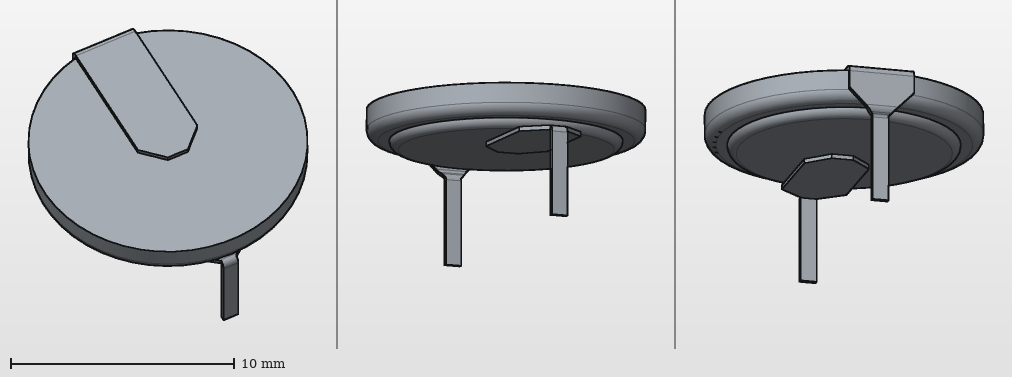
import cadquery as cq
import math

cell_radius = 6.25
rim_thickness = 1.4
rim_fillet = 0.5
cap_radius = 5.23
cap_height = 0.4
cap_fillet = 0.39
cell_thickness = rim_thickness + cap_height

sheet = 0.2
contact_width = 3.0
leg_width = 0.74
tip_chamfer = 1.0
bend_inner = 0.1
bend_outer = bend_inner + sheet
shoulder = (contact_width - leg_width) / 2

upper_left = -6.35
upper_tip = 0.96
upper_taper_start = -0.9
joggle_start = -1.79
joggle_offset = 0.24
joggle_angle = 45
joggle_inner = 0.2
joggle_outer = joggle_inner + sheet
upper_leg_bottom = -6.0

lower_tip = 0.23
lower_taper_start = 4.98
lower_leg_inner = 5.87
lower_leg_thickness = 0.23
lower_leg_outer = lower_leg_inner + lower_leg_thickness
lower_leg_bottom = -5.91
lower_top = -cell_thickness
lower_bottom = lower_top - sheet


def extrude_profile(points):
    """Extrude an XZ outline over the full contact width, centred on Y = 0."""
    return cq.Workplane("XZ").polyline(points).close().extrude(contact_width / 2, both=True)


def round_bend(body, x, z, radius):
    """Round the Y-parallel edge that passes through (x, z)."""
    return body.edges("|Y").edges(cq.NearestToPointSelector((x, 0, z))).fillet(radius)


def both_sides(wedge):
    """Pair a wedge with its mirror image across Y = 0."""
    return wedge.union(wedge.mirror("XZ"))


def make_cell():
    """Wide rim with a smaller raised cap underneath, both with rounded lower edges."""
    rim = cq.Workplane("XY").circle(cell_radius).extrude(-rim_thickness)
    rim = rim.faces("<Z").edges().fillet(rim_fillet)
    cap = cq.Workplane("XY").workplane(offset=-rim_thickness).circle(cap_radius).extrude(-cap_height)
    cap = cap.faces("<Z").edges().fillet(cap_fillet)
    return rim.union(cap)


def make_upper_contact():
    inner = upper_left + sheet
    leg_left = upper_left + joggle_offset
    leg_right = leg_left + sheet
    joggle_end = joggle_start - joggle_offset / math.tan(math.radians(joggle_angle))
    corner_lift = sheet * math.tan(math.radians(joggle_angle / 2))

    contact = extrude_profile([
        (upper_tip, sheet),
        (upper_left, sheet),
        (upper_left, joggle_start),
        (leg_left, joggle_end),
        (leg_left, upper_leg_bottom),
        (leg_right, upper_leg_bottom),
        (leg_right, joggle_end + corner_lift),
        (inner, joggle_start + corner_lift),
        (inner, 0),
        (upper_tip, 0),
    ])
    contact = round_bend(contact, upper_left, sheet, bend_outer)
    contact = round_bend(contact, inner, 0, bend_inner)
    contact = round_bend(contact, upper_left, joggle_start, joggle_outer)
    contact = round_bend(contact, inner, joggle_start + corner_lift, joggle_inner)
    contact = round_bend(contact, leg_left, joggle_end, joggle_inner)
    contact = round_bend(contact, leg_right, joggle_end + corner_lift, joggle_outer)

    contact = contact.edges("|Z and >X").chamfer(tip_chamfer)

    side = (
        cq.Workplane("YZ", origin=(upper_left, 0, 0))
        .moveTo(contact_width / 2, upper_taper_start)
        .lineTo(leg_width / 2, upper_taper_start - shoulder)
        .lineTo(leg_width / 2, upper_leg_bottom)
        .lineTo(contact_width / 2, upper_leg_bottom)
        .close()
        .extrude(joggle_offset + sheet)
    )
    return contact.cut(both_sides(side))


def make_lower_contact():
    contact = extrude_profile([
        (lower_tip, lower_top),
        (lower_leg_outer, lower_top),
        (lower_leg_outer, lower_leg_bottom),
        (lower_leg_inner, lower_leg_bottom),
        (lower_leg_inner, lower_bottom),
        (lower_tip, lower_bottom),
    ])
    contact = round_bend(contact, lower_leg_outer, lower_top, bend_outer)

    contact = contact.edges("|Z and <X").chamfer(tip_chamfer)

    side = (
        cq.Workplane("XY", origin=(0, 0, lower_top))
        .moveTo(lower_taper_start, contact_width / 2)
        .lineTo(lower_leg_inner, leg_width / 2)
        .lineTo(lower_leg_outer, leg_width / 2)
        .lineTo(lower_leg_outer, contact_width / 2)
        .close()
        .extrude(lower_leg_bottom - lower_top)
    )
    return contact.cut(both_sides(side))


upper_contact = make_upper_contact()
lower_contact = make_lower_contact()
cell = make_cell().cut(upper_contact)

result = cq.Compound.makeCompound([
    cell.solids().val(),
    upper_contact.solids().val(),
    lower_contact.solids().val(),
])